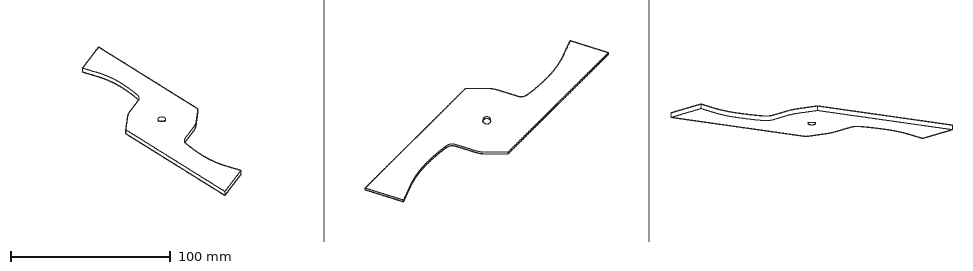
import cadquery as cq

length = 171.7
width = 49.1
thickness = 3.1
hole_diameter = 5.0

arm_end_top = (-length / 2, 23.0)
arm_end_bottom = (-75.0, 0.0)
hub_corner = (-6.4, -width / 2)

hollow_start = (-67.5, 3.0)
hollow_outer_mid = (-57.7, 6.0)
hollow_crest = (-47.4, 7.2)
hollow_inner_mid = (-38.5, 7.0)
hollow_end = (-29.7, 6.2)

inner_corner_mid = (-27.1, 5.0)
inner_corner_end = (-25.2, 2.5)
flank_end = (-19.5, -9.5)
hub_round_mid = (-17.9, -12.4)
hub_round_end = (-15.8, -14.8)


def opposite(point):
    """Turn a point half a revolution about the hole axis."""
    return (-point[0], -point[1])


def same(point):
    return point


def add_half_outline(outline, place):
    """Draw from an arm's outer corner to the hub corner on the same side."""
    return (
        outline.lineTo(*place(arm_end_bottom))
        .lineTo(*place(hollow_start))
        .threePointArc(place(hollow_outer_mid), place(hollow_crest))
        .threePointArc(place(hollow_inner_mid), place(hollow_end))
        .threePointArc(place(inner_corner_mid), place(inner_corner_end))
        .lineTo(*place(flank_end))
        .threePointArc(place(hub_round_mid), place(hub_round_end))
        .lineTo(*place(hub_corner))
    )


outline = cq.Workplane("XY").moveTo(*arm_end_top)
outline = add_half_outline(outline, same)
outline = outline.lineTo(*opposite(arm_end_top))
outline = add_half_outline(outline, opposite)
blade = outline.close().extrude(thickness)

hole = cq.Workplane("XY").circle(hole_diameter / 2).extrude(thickness)
result = blade.cut(hole)